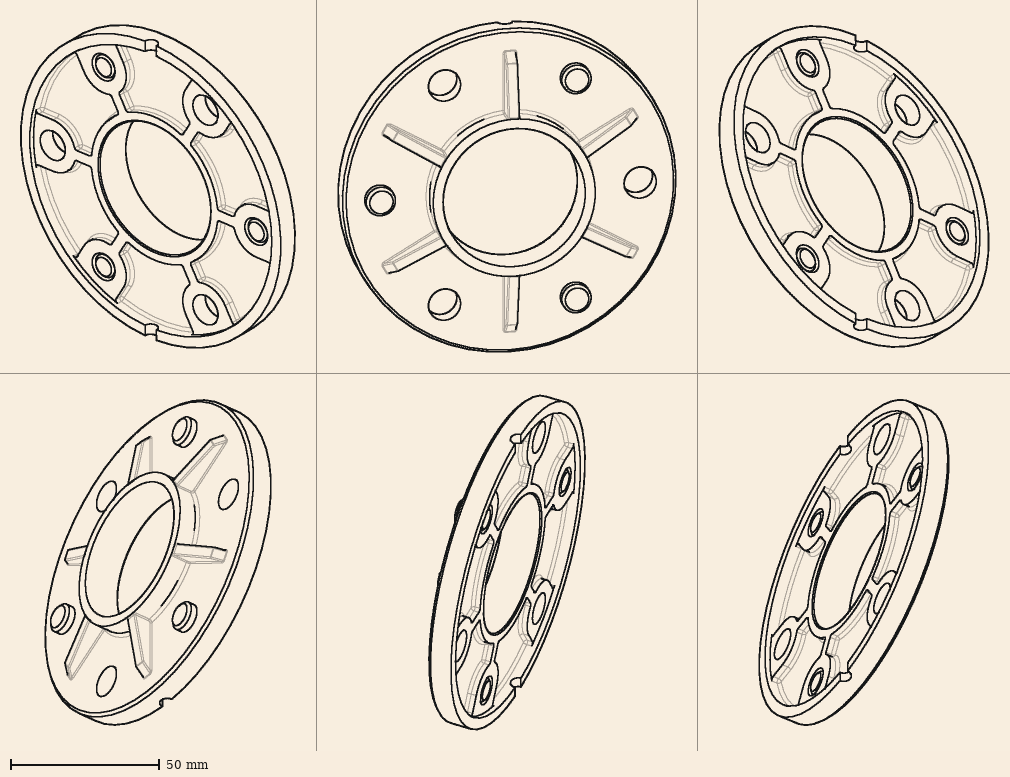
import cadquery as cq
import math


disc_radius = 57.5
disc_thickness = 8.5
disc_chamfer = 1.0

bore_radius = 24.5
bore_chamfer = 0.5
hub_radius = 28.0
total_depth = 16.0
hub_base_fillet = 1.0

recess_radius = 53.5
recess_depth = 2.0
pocket_depth = 3.0
pocket_bottom_y = recess_depth + pocket_depth
pocket_corner_radius = 1.0
pocket_floor_fillet = 1.0

spoke_count = 6
spoke_step = 360 / spoke_count
web_width = 4.0
boss_radius = 10.0
bolt_circle_radius = 45.0

bolt_hole_radius = 5.5
pin_angles = [0, 120, 240]
bolt_hole_angles = [angle + spoke_step for angle in pin_angles]

pin_radius = 4.3
pin_head_radius = 5.1
pin_head_height = 3.5
pin_head_chamfer = 1.0
pin_tip_chamfer = 0.8

rib_width = 4.0
rib_hub_height = 7.0
rib_knee_height = 3.5
rib_knee_radius = 46.5
rib_end_radius = rib_knee_radius + rib_knee_height
rib_fillet = 0.5

notch_radius = 2.5


def cylinder(radius, start_y, end_y, center=(0, 0)):
    """Cylinder along Y, with its center given in X and Z."""
    plane = cq.Workplane("XZ", origin=(0, start_y, 0))
    return plane.center(*center).circle(radius).extrude(start_y - end_y)


def on_bolt_circle(angle):
    """X and Z of the point on the bolt circle at an angle from +X toward +Z."""
    turn = math.radians(angle)
    return bolt_circle_radius * math.cos(turn), bolt_circle_radius * math.sin(turn)


def turned(shape, angle):
    """The shape turned about the flange axis from +X toward +Z."""
    return shape.rotate((0, 0, 0), (0, -1, 0), angle)


def make_spoke():
    """Web and boss along +X that stay standing between two pockets."""
    plane = cq.Workplane("XZ", origin=(0, recess_depth, 0))
    web = plane.center(bolt_circle_radius / 2, 0).rect(bolt_circle_radius, web_width).extrude(-pocket_depth)
    boss = cylinder(boss_radius, recess_depth, pocket_bottom_y, (bolt_circle_radius, 0))
    outer_length = disc_radius - bolt_circle_radius
    outer_center = bolt_circle_radius + outer_length / 2
    outer = plane.center(outer_center, 0).rect(outer_length, 2 * boss_radius).extrude(-pocket_depth)
    return web.union(boss).union(outer)


def make_pockets():
    """The six pockets as solids to cut away."""
    pockets = cylinder(recess_radius, recess_depth, pocket_bottom_y)
    pockets = pockets.cut(cylinder(hub_radius, recess_depth, pocket_bottom_y))
    spoke = make_spoke()
    for i in range(spoke_count):
        pockets = pockets.cut(turned(spoke, i * spoke_step))
    pockets = pockets.edges("|Y").fillet(pocket_corner_radius)
    return pockets.faces(">Y").edges().fillet(pocket_floor_fillet)


def make_rib():
    """Plain sloping rib along +X, starting inside the hub wall."""
    inner_radius = (bore_radius + hub_radius) / 2
    slope = (rib_hub_height - rib_knee_height) / (rib_knee_radius - hub_radius)
    inner_height = rib_hub_height + slope * (hub_radius - inner_radius)
    outline = [
        (inner_radius, disc_thickness),
        (rib_end_radius, disc_thickness),
        (rib_knee_radius, disc_thickness + rib_knee_height),
        (inner_radius, disc_thickness + inner_height),
    ]
    return cq.Workplane("XY").polyline(outline).close().extrude(rib_width / 2, both=True)


def add_rib(body):
    """Join a rib along +X to the body and round every edge of it."""
    edges_of_rib = cq.selectors.BoxSelector(
        (hub_radius - rib_width / 2, disc_thickness - rib_fillet, -rib_width),
        (rib_end_radius + rib_fillet, total_depth - rib_fillet / 2, rib_width),
    )
    return body.union(make_rib()).edges(edges_of_rib).fillet(rib_fillet)


def make_ribbed_body():
    """Disc, hub and ribs before anything is cut away."""
    body = cylinder(disc_radius, 0, disc_thickness).faces(">Y").chamfer(disc_chamfer)
    body = body.union(cylinder(hub_radius, disc_thickness, total_depth))
    hub_base = cq.selectors.BoxSelector(
        (-disc_radius / 2, disc_thickness - hub_base_fillet, -disc_radius / 2),
        (disc_radius / 2, disc_thickness + hub_base_fillet, disc_radius / 2),
        boundingbox=True,
    )
    body = body.edges(hub_base).fillet(hub_base_fillet)
    for _ in range(spoke_count):
        body = turned(add_rib(body), spoke_step)
    return turned(body, spoke_step / 2)


def make_notches():
    """Half-round cut across the rim at its top and bottom, without the area inside the rim."""
    bar = cq.Workplane("XY").circle(notch_radius).extrude(disc_radius, both=True)
    return bar.cut(cylinder(recess_radius, -notch_radius, notch_radius))


def make_pin_hole(center):
    """Hole for one pin, countersunk at the boss face."""
    hole = cylinder(pin_radius, recess_depth, disc_thickness, center)
    countersink = cq.Solid.makeCone(
        pin_radius + pin_tip_chamfer,
        pin_radius,
        pin_tip_chamfer,
        cq.Vector(center[0], recess_depth, center[1]),
        cq.Vector(0, 1, 0),
    )
    return hole.union(cq.Workplane(countersink))


def make_flange():
    flange = make_ribbed_body()
    flange = flange.cut(cylinder(recess_radius, 0, recess_depth))
    flange = flange.cut(make_pockets())
    bore = cylinder(bore_radius, recess_depth, total_depth)
    bore_lead_in = cq.Solid.makeCone(
        bore_radius + bore_chamfer,
        bore_radius,
        bore_chamfer,
        cq.Vector(0, recess_depth, 0),
        cq.Vector(0, 1, 0),
    )
    flange = flange.cut(bore).cut(cq.Workplane(bore_lead_in))
    for angle in bolt_hole_angles:
        flange = flange.cut(cylinder(bolt_hole_radius, 0, disc_thickness, on_bolt_circle(angle)))
    for angle in pin_angles:
        flange = flange.cut(make_pin_hole(on_bolt_circle(angle)))
    return flange.cut(make_notches())


def make_pin(center):
    """Pin flush with the boss face, with a head resting on the back of the disc."""
    shank = cylinder(pin_radius, recess_depth, disc_thickness, center)
    shank = shank.faces("<Y").chamfer(pin_tip_chamfer)
    head = cylinder(pin_head_radius, disc_thickness, disc_thickness + pin_head_height, center)
    return shank.union(head.faces(">Y").chamfer(pin_head_chamfer))


flange = make_flange()
pins = [make_pin(on_bolt_circle(angle)).val() for angle in pin_angles]

result = cq.Compound.makeCompound([flange.val(), *pins])